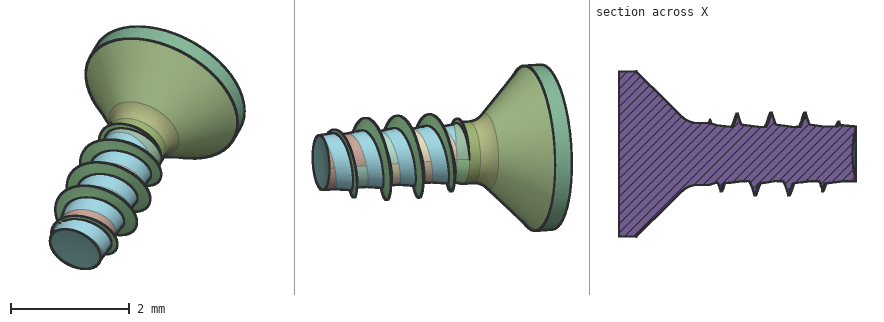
import cadquery as cq
import math


length = 4.0
head_radius = 1.4
rim_height = 0.3
rim_rounding = 0.01
shank_radius = 0.525
neck_fillet = 0.4
cone_angle = math.radians(45)
shank_end = 1.535
run_out_end = 1.74

core_radius = 0.465
dish_radius = 0.435
dish_depth = 0.055

pitch = 0.57
depth_at_zero_turns = 1.865
first_turn = -1.0
last_turn = 3.75
first_crest_depth = 1.54
crest_radius = 0.705
start_crest_radius = 0.515
settled_turn = -0.75
settled_crest_radius = 0.58
full_height_start = 0.4
full_height_end = 2.3
end_height = 0.005
points_per_turn = 24
buried_radius = 0.4
sunk_radius = 0.455

full_height = crest_radius - core_radius
crest_half_width = 0.006
head_side_foot = -0.095
head_side_waist = -0.05
waist_height = 0.4
tip_side_foot = 0.07
shoulder_height = 0.035
shoulder_ratio = 0.3
shoulder_end = 0.395
start_shoulder_end = 0.2


def make_body():
    """Revolve the countersunk head, filleted neck and short run-out cone."""
    neck_start_radius = shank_radius + neck_fillet * (1 - math.cos(cone_angle))
    neck_start = rim_height + (head_radius - neck_start_radius) / math.tan(cone_angle)
    neck_end = neck_start + neck_fillet * math.sin(cone_angle)
    half_angle = cone_angle / 2
    neck_middle_radius = shank_radius + neck_fillet * (1 - math.cos(half_angle))
    neck_middle = neck_end - neck_fillet * math.sin(half_angle)
    head = (
        cq.Workplane("XY")
        .circle(head_radius)
        .extrude(rim_height)
        .edges("<Z")
        .fillet(rim_rounding)
    )
    shaft = (
        cq.Workplane("XZ")
        .moveTo(0, rim_height)
        .lineTo(head_radius - rim_rounding, rim_height)
        .lineTo(neck_start_radius, neck_start)
        .threePointArc((neck_middle_radius, neck_middle), (shank_radius, neck_end))
        .lineTo(shank_radius, shank_end)
        .lineTo(core_radius, run_out_end)
        .lineTo(0, run_out_end)
        .close()
        .revolve(360, (0, 0, 0), (0, 1, 0))
    )
    return head.union(shaft)


def blend(turn, start_turn, end_turn, start_value, end_value):
    """Ramp evenly from one value to another, staying level beyond both turns."""
    progress = (turn - start_turn) / (end_turn - start_turn)
    progress = min(max(progress, 0), 1)
    return start_value + progress * (end_value - start_value)


def crest_height(turn):
    """Height of the thread above the core, rising at the head and fading at the tip."""
    start_height = start_crest_radius - core_radius
    settled_height = settled_crest_radius - core_radius
    if turn < settled_turn:
        return blend(turn, first_turn, settled_turn, start_height, settled_height)
    if turn < full_height_start:
        return blend(turn, settled_turn, full_height_start, settled_height, full_height)
    return blend(turn, full_height_end, last_turn, full_height, end_height)


def thread_section(turn):
    """Radius and depth of each corner of the thread section at a given turn."""
    height = crest_height(turn)
    scale = height / full_height
    crest = max(depth_at_zero_turns + pitch * turn, first_crest_depth)
    shoulder = core_radius + min(shoulder_height, shoulder_ratio * height)
    slope_end = blend(turn, first_turn, settled_turn, start_shoulder_end, shoulder_end)
    return [
        (buried_radius, crest + head_side_foot * scale),
        (sunk_radius, crest + head_side_foot * scale),
        (core_radius + waist_height * height, crest + head_side_waist * scale),
        (core_radius + height, crest - crest_half_width * scale),
        (core_radius + height, crest + crest_half_width * scale),
        (shoulder, crest + tip_side_foot * scale),
        (sunk_radius, crest + slope_end),
        (buried_radius, crest + slope_end),
    ]


def make_thread():
    """Join helical edges through the section corners with ruled faces."""
    steps = round((last_turn - first_turn) * points_per_turn)
    paths = [[] for corner in thread_section(first_turn)]
    for step in range(steps + 1):
        turn = first_turn + step / points_per_turn
        angle = 2 * math.pi * turn
        for path, (radius, depth) in zip(paths, thread_section(turn)):
            path.append(cq.Vector(radius * math.cos(angle), radius * math.sin(angle), depth))
    edges = [cq.Edge.makeSpline(path) for path in paths]
    faces = []
    for index, edge in enumerate(edges):
        faces.append(cq.Face.makeRuledSurface(edges[index - 1], edge))
    for end in (0, -1):
        corners = [path[end] for path in paths]
        faces.append(cq.Face.makeFromWires(cq.Wire.makePolygon(corners, close=True)))
    return cq.Workplane(cq.Solid.makeSolid(cq.Shell.makeShell(faces)))


def make_threaded_core():
    """Thread a plain core, then cut it flat at the tip with a shallow dish."""
    core = (
        cq.Workplane("XY", origin=(0, 0, rim_height))
        .circle(core_radius)
        .extrude(length + pitch - rim_height)
    )
    beyond_tip = (
        cq.Workplane("XY", origin=(0, 0, length))
        .circle(head_radius)
        .extrude(2 * pitch)
    )
    dish_sphere_radius = (dish_radius**2 + dish_depth**2) / (2 * dish_depth)
    dish = cq.Workplane("XY", origin=(0, 0, length - dish_depth + dish_sphere_radius)).sphere(
        dish_sphere_radius
    )
    return core.union(make_thread()).cut(beyond_tip).cut(dish)


screw = make_threaded_core().union(make_body())
result = screw.rotate((0, 0, 0), (1, 0, 0), 90)